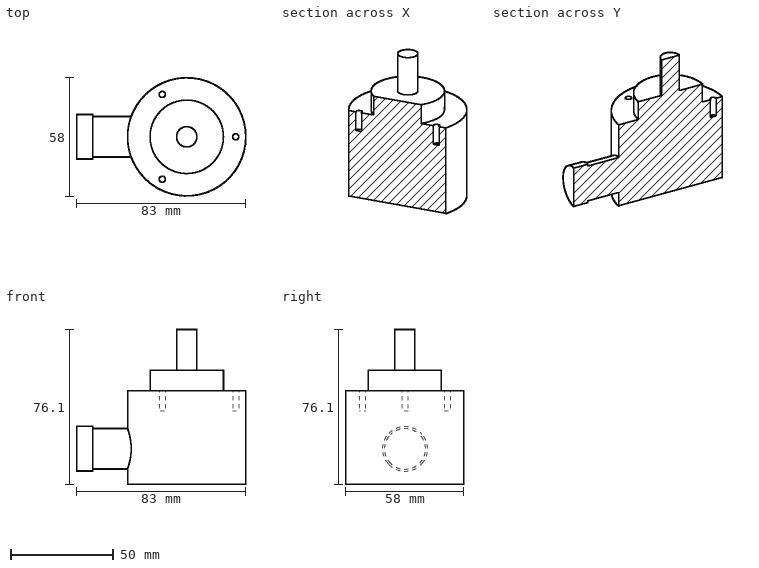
import cadquery as cq

overall_length = 83.0
housing_diameter = 58.0
housing_height = 46.0
collar_diameter = 36.0
collar_height = 10.05
shaft_diameter = 10.0
shaft_height = 20.0

connector_axis_height = 17.5
connector_diameter = 20.0
cap_diameter = 22.0
cap_length = 8.0
connector_reach = overall_length - housing_diameter / 2

hole_count = 3
hole_diameter = 3.0
hole_circle_radius = 24.0
hole_depth = 10.0


def make_turned_body():
    """Stack the housing, collar and shaft."""
    return (
        cq.Workplane("XY")
        .circle(housing_diameter / 2)
        .extrude(housing_height)
        .faces(">Z")
        .workplane()
        .circle(collar_diameter / 2)
        .extrude(collar_height)
        .faces(">Z")
        .workplane()
        .circle(shaft_diameter / 2)
        .extrude(shaft_height)
    )


def make_connector():
    """Run a tube from the housing axis to the outer end and cap it."""
    end_plane = cq.Workplane("YZ", origin=(-connector_reach, 0, connector_axis_height))
    tube = end_plane.circle(connector_diameter / 2).extrude(connector_reach)
    cap = end_plane.circle(cap_diameter / 2).extrude(cap_length)
    return tube.union(cap)


def make_mounting_holes():
    """Place the hole cutters evenly around the collar, the first on +X."""
    return (
        cq.Workplane("XY", origin=(0, 0, housing_height))
        .polarArray(hole_circle_radius, 0, 360, hole_count)
        .circle(hole_diameter / 2)
        .extrude(-hole_depth)
    )


result = make_turned_body().union(make_connector()).cut(make_mounting_holes())